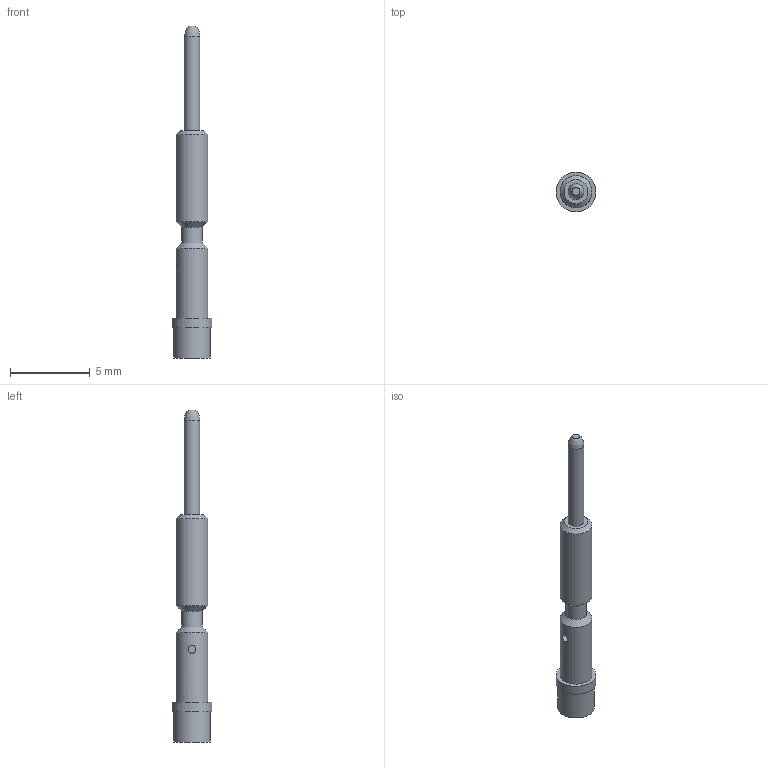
import cadquery as cq
import math


total_height = 20.8
collar_radius = 1.25

base_radius = 1.15
collar_bottom = 1.9
collar_top = 2.5

barrel_radius = 1.0
neck_radius = 0.65
neck_bottom = 7.2
neck_top = 8.2
neck_cone_height = barrel_radius - neck_radius
barrel_top = 14.25
barrel_chamfer = 0.25

pin_radius = 0.5
tip_flat_radius = 0.25
tip_height = 0.65
tip_start = total_height - tip_height

hole_diameter = 0.5
hole_height = 5.8


def tip_arc_midpoint():
    """Middle of the tip arc, which leaves the pin wall tangentially and ends at the flat."""
    inset = pin_radius - tip_flat_radius
    arc_radius = (inset**2 + tip_height**2) / (2 * inset)
    half_angle = math.asin(tip_height / arc_radius) / 2
    radius = pin_radius - arc_radius * (1 - math.cos(half_angle))
    height = tip_start + arc_radius * math.sin(half_angle)
    return radius, height


def turned_body():
    """Half profile (radius, height) revolved about the Z axis."""
    profile = (
        cq.Workplane("YZ")
        .moveTo(0, 0)
        .lineTo(base_radius, 0)
        .lineTo(base_radius, collar_bottom)
        .lineTo(collar_radius, collar_bottom)
        .lineTo(collar_radius, collar_top)
        .lineTo(barrel_radius, collar_top)
        .lineTo(barrel_radius, neck_bottom - neck_cone_height)
        .lineTo(neck_radius, neck_bottom)
        .lineTo(neck_radius, neck_top)
        .lineTo(barrel_radius, neck_top + neck_cone_height)
        .lineTo(barrel_radius, barrel_top - barrel_chamfer)
        .lineTo(barrel_radius - barrel_chamfer, barrel_top)
        .lineTo(pin_radius, barrel_top)
        .lineTo(pin_radius, tip_start)
        .threePointArc(tip_arc_midpoint(), (tip_flat_radius, total_height))
        .lineTo(0, total_height)
        .close()
    )
    return profile.revolve(360, (0, 0, 0), (0, 1, 0))


def radial_hole():
    """Cylinder running from the axis out past the -X side of the barrel."""
    return (
        cq.Workplane("YZ")
        .center(0, hole_height)
        .circle(hole_diameter / 2)
        .extrude(-collar_radius)
    )


result = turned_body().cut(radial_hole())